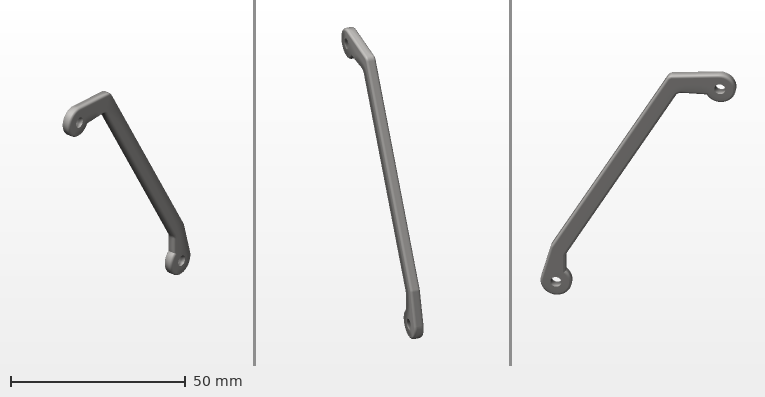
import cadquery as cq
import math

thickness = 3.0
depth = 56.4
height = 76.4

boss_radius = 4.5
hole_diameter = 3.2

bar_angle = math.radians(60)
bar_width = 5.0

lower_arm_offset = 2.75
upper_arm_offset = 2.3

lower_inner_bend = 8.9
lower_outer_bend = 11.5
upper_outer_bend = 70.5

bend_radius = 2.0
edge_radius = 0.725

lower_center = (0.0, 0.0)
upper_center = (depth - 2 * boss_radius, height - 2 * boss_radius)
centers = [lower_center, upper_center]


def bar_edge_point(level, outward):
    """Point at a given height on a bar edge, shifted outward from the inner edge."""
    rise = level - lower_inner_bend
    across = lower_arm_offset + rise / math.tan(bar_angle) - outward / math.sin(bar_angle)
    return (across, level)


def point_on_boss(center, angle):
    return (
        center[0] + boss_radius * math.cos(angle),
        center[1] + boss_radius * math.sin(angle),
    )


def tangent_point(center, bend, side):
    """Where the line from an outer bend touches a boss; side is +1 or -1 about the centre line."""
    across = bend[0] - center[0]
    rise = bend[1] - center[1]
    direction = math.atan2(rise, across)
    spread = math.acos(boss_radius / math.hypot(across, rise))
    return point_on_boss(center, direction + side * spread)


lower_inner = bar_edge_point(lower_inner_bend, 0)
upper_inner = bar_edge_point(upper_center[1] - upper_arm_offset, 0)
lower_outer = bar_edge_point(lower_outer_bend, bar_width)
upper_outer = bar_edge_point(upper_outer_bend, bar_width)

lower_tangent = tangent_point(lower_center, lower_outer, 1)
upper_tangent = tangent_point(upper_center, upper_outer, -1)
lower_notch = point_on_boss(lower_center, math.acos(lower_arm_offset / boss_radius))
upper_notch = point_on_boss(upper_center, math.pi + math.asin(upper_arm_offset / boss_radius))

lower_far_side = point_on_boss(lower_center, -math.pi / 4)
upper_far_side = point_on_boss(upper_center, -math.pi / 4)
plane = cq.Plane(origin=(0, 0, 0), xDir=(0, -1, 0), normal=(-1, 0, 0))
body = (
    cq.Workplane(plane)
    .moveTo(*lower_notch)
    .lineTo(*lower_inner)
    .lineTo(*upper_inner)
    .lineTo(*upper_notch)
    .threePointArc(upper_far_side, upper_tangent)
    .lineTo(*upper_outer)
    .lineTo(*lower_outer)
    .lineTo(*lower_tangent)
    .threePointArc(lower_far_side, lower_notch)
    .close()
    .extrude(thickness / 2, both=True)
)

for across, level in [lower_inner, upper_inner, upper_outer, lower_outer]:
    bend_edge = cq.selectors.NearestToPointSelector((0, -across, level))
    body = body.edges("|X").edges(bend_edge).fillet(bend_radius)

body = body.faces("<X or >X").edges().fillet(edge_radius)
holes = cq.Workplane(plane).pushPoints(centers).circle(hole_diameter / 2).extrude(thickness, both=True)

result = body.cut(holes).translate((0, upper_center[0] / 2, -upper_center[1] / 2))